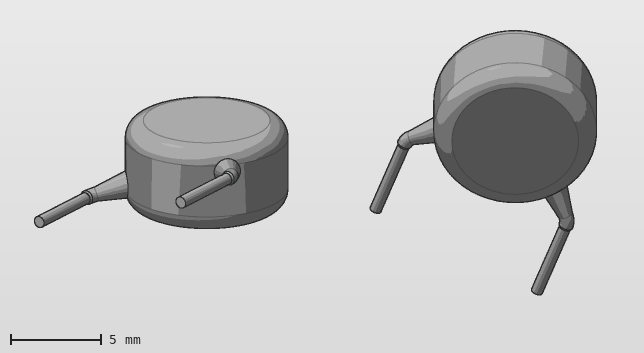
import cadquery as cq
import math


disc_diameter = 9.0
disc_height = 5.0
disc_edge_radius = 1.0

overall_length = 13.89
lead_diameter = 0.65
lead_offset_x = 4.75
lead_offset_z = 1.6
lead_end_y = disc_diameter / 2 - overall_length

neck_radius = 0.4
neck_tip_radius = 0.33
neck_tip_length = 0.14
root_end_y = -4.92
elbow_bend_radius = 0.83
elbow_angle = 43.4
cone_half_angle = 10.7
cone_length = 2.5

lead_distance = math.hypot(lead_offset_x, lead_offset_z)
lead_tilt = math.degrees(math.atan2(lead_offset_z, lead_offset_x))
lead_rotations = [-lead_tilt, 180 - lead_tilt]

Y_AXIS = cq.Vector(0, 1, 0)


def turn_about_y(solid, angle):
    return solid.rotate(cq.Vector(0, 0, 0), Y_AXIS, angle)


def make_disc():
    bottom = cq.Workplane("XY", origin=(0, 0, -disc_height / 2))
    disc = bottom.circle(disc_diameter / 2).extrude(disc_height)
    return disc.faces("<Z or >Z").edges().fillet(disc_edge_radius)


def make_root():
    """Tapered tip, elbow and cone of one lead root, laid in the XY plane on the -X side."""
    elbow_start_y = root_end_y + neck_tip_length
    tip = cq.Solid.makeCone(
        neck_tip_radius, neck_radius, neck_tip_length, cq.Vector(-lead_distance, root_end_y, 0), Y_AXIS
    )

    elbow = (
        cq.Workplane("XZ", origin=(-lead_distance, elbow_start_y, 0))
        .circle(neck_radius)
        .revolve(elbow_angle, (elbow_bend_radius, 0.14, 0), (elbow_bend_radius, 0, 0))
        .val()
    )

    angle = math.radians(elbow_angle)
    cone_start = cq.Vector(
        -lead_distance + elbow_bend_radius * (1 - math.cos(angle)),
        elbow_start_y + elbow_bend_radius * math.sin(angle),
        0,
    )
    cone_direction = cq.Vector(math.sin(angle), math.cos(angle), 0)
    cone_end_radius = neck_radius + cone_length * math.tan(math.radians(cone_half_angle))
    cone = cq.Solid.makeCone(neck_radius, cone_end_radius, cone_length, cone_start, cone_direction)
    return tip.fuse(elbow, cone)


def make_coating():
    """The disc and both lead roots, as one solid."""
    coating = make_disc()
    for rotation in lead_rotations:
        coating = coating.union(cq.Workplane(turn_about_y(make_root(), rotation)))
    return coating.solids().val()


def make_lead():
    """One straight wire, laid in the XY plane on the -X side, that meets the tip of its root."""
    lead_length = root_end_y - lead_end_y
    return cq.Solid.makeCylinder(
        lead_diameter / 2, lead_length, cq.Vector(-lead_distance, lead_end_y, 0), Y_AXIS
    )


coating = make_coating()
leads = [turn_about_y(make_lead(), rotation) for rotation in lead_rotations]

result = cq.Compound.makeCompound([coating, *leads])